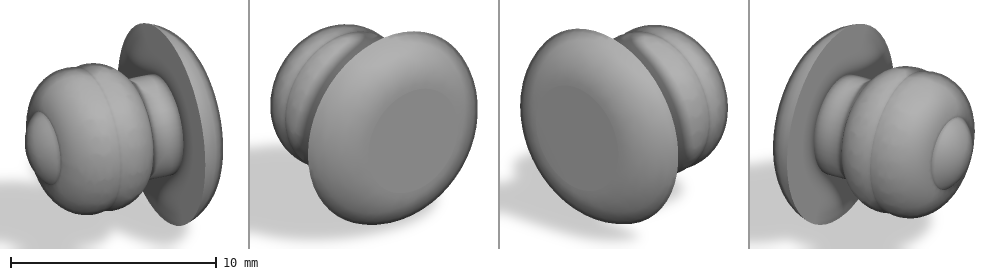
import cadquery as cq
import math

head_radius = 5.03
head_flat_radius = 2.72
neck_radius = 2.52
bulb_radius = 3.64
lobe_radius = 1.93
lobe_center_radius = bulb_radius - lobe_radius
tip_radius = 1.82

head_height = 1.8
neck_length = 1.59
front_lobe_length = 2.43
total_length = 8.9

head_top = head_height
neck_end = -neck_length
rear_center = neck_end - math.sqrt(lobe_radius**2 - (neck_radius - lobe_center_radius) ** 2)
lobe_offset = front_lobe_length - lobe_radius
seam = rear_center - lobe_offset
front_center = seam - lobe_offset
bulb_end = front_center - math.sqrt(lobe_radius**2 - (tip_radius - lobe_center_radius) ** 2)
tip_end = head_top - total_length
tip_height = bulb_end - tip_end

seam_radius = lobe_center_radius + math.sqrt(lobe_radius**2 - lobe_offset**2)

tip_sphere_radius = (tip_radius**2 + tip_height**2) / (2 * tip_height)
tip_mid_angle = math.asin(tip_radius / tip_sphere_radius) / 2
tip_mid = (
    tip_sphere_radius * math.sin(tip_mid_angle),
    tip_end + tip_sphere_radius * (1 - math.cos(tip_mid_angle)),
)

profile = (
    cq.Workplane("XY")
    .moveTo(0, head_top)
    .lineTo(head_flat_radius, head_top)
    .tangentArcPoint((head_radius, 0), relative=False)
    .lineTo(neck_radius, 0)
    .lineTo(neck_radius, neck_end)
    .threePointArc((bulb_radius, rear_center), (seam_radius, seam))
    .threePointArc((bulb_radius, front_center), (tip_radius, bulb_end))
    .threePointArc(tip_mid, (0, tip_end))
    .close()
)

result = profile.revolve(360, (0, 0, 0), (0, 1, 0))